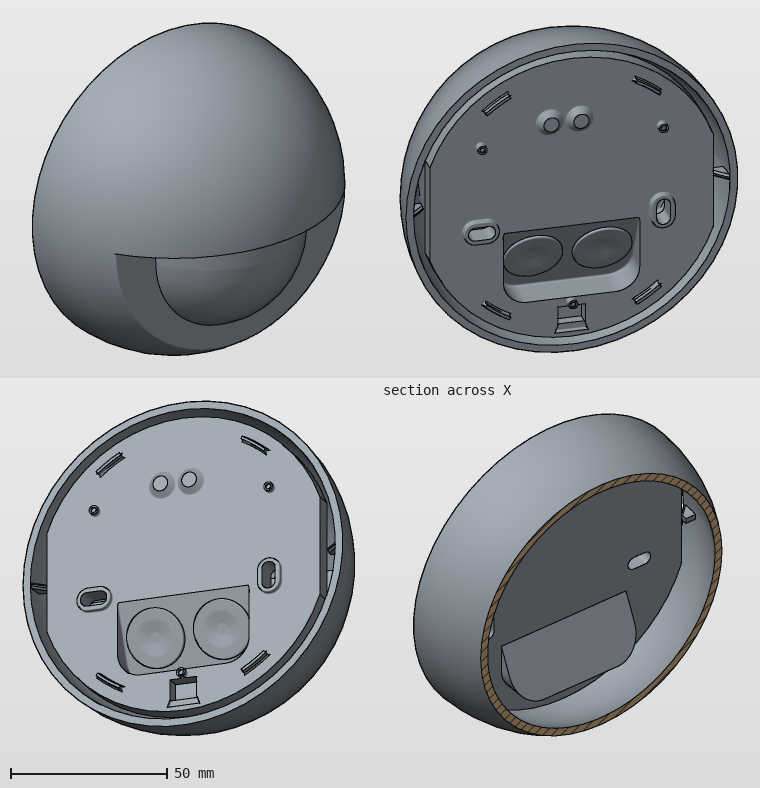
import cadquery as cq
import math


dome_radius = 55.0
wall = 2.5
rim_x = -0.2
inner_radius = dome_radius - wall
notch_x = 31.9
notch_edge_fillet = 0.5

stop_rib_width = 1.9
stop_rib_chamfer = 0.7
stop_rib_reach = 4.3
stop_rib_front_x = 0.3
stop_rib_length = 6.6

lens_radius = 32.2
lens_axis_x = 18.4
lens_ball_z = -7.4
lens_lean = 1.6

plate_face_x = 0.2
plate_thickness = 6.0
plate_radius = 49.8
plate_half_width = 47.0
plate_back_x = plate_face_x + plate_thickness
bump_fillet = 0.4

tall_bump_x = -2.0
low_bump_x = -1.6

rib_circle_radius = 44.9
rib_width = 1.0
rib_half_span = 6.1
rib_angles = [56.1, 123.9, 236.1, 303.9]

post_radius = 1.48
post_dimple_radius = 0.9
post_dimple_depth = 0.5
post_places = [(30.0, 21.8), (-30.0, 21.8), (0, -37.5)]

cone_top_radius = 2.5
cone_base_radius = 4.5
cone_top_x = -1.8
cone_places = [(7.1, 27.8), (-2.7, 27.8)]

boss_length = 11.7
boss_width = 7.8
boss_edge_fillet = 0.3
slot_length = 9.0
slot_width = 4.6
boss_places = [(30.1, -8.2, 0), (-30.0, -8.2, 90)]

pocket_width = 45.2
pocket_top_z = -10.1
pocket_bottom_z = -35.7
pocket_corner = 8.0
pocket_floor_fillet = 0.5
pocket_slope = 25.0
pocket_wall = 2.2
pocket_height = pocket_top_z - pocket_bottom_z
pocket_depth = pocket_height * math.tan(math.radians(pocket_slope))

window_width = 9.1
window_top_z = -38.8
window_bottom_z = -45.5
window_depth = 5.0
recess_bottom_z = -48.1
recess_bottom_width = 11.1
recess_depth = 1.3
recess_floor_fillet = 0.4

grommet_radius = 9.8
grommet_thickness = 1.1
grommet_spacing = 23.0
grommet_z = -21.8
dish_radius = 5.9
dish_bottom_radius = 1.9
dish_depth = 0.8
dish_lip_fillet = 5.0
grommet_edge_fillet = 0.4


def box_between(x_range, y_range, z_range):
    """Box between the given limits."""
    size = [high - low for low, high in (x_range, y_range, z_range)]
    corner = (x_range[0], y_range[0], z_range[0])
    return cq.Workplane("XY").box(*size, centered=False).translate(corner)


def sketch_at(x):
    """Workplane across X, with Y and Z as its two directions."""
    return cq.Workplane("YZ", origin=(x, 0, 0))


def truncated_hemisphere(radius, end_x, edge_fillet):
    """Half ball cut off flat at end_x, with a rounded edge there."""
    tilt = math.asin((end_x - edge_fillet) / (radius - edge_fillet))

    def on_circle(distance, angle):
        return (distance * math.sin(angle), distance * math.cos(angle))

    fillet_x, fillet_y = on_circle(radius - edge_fillet, tilt)
    offset_x, offset_y = on_circle(edge_fillet, (tilt + math.pi / 2) / 2)
    return (
        cq.Workplane("XY")
        .lineTo(0, radius)
        .threePointArc(on_circle(radius, tilt / 2), on_circle(radius, tilt))
        .threePointArc((fillet_x + offset_x, fillet_y + offset_y), (end_x, fillet_y))
        .lineTo(end_x, 0)
        .close()
        .revolve(360, (0, 0), (1, 0))
    )


def notched_hemisphere(radius, step_x, ceiling_z):
    """Half ball on the +X side that ends at step_x below ceiling_z."""
    sideways = (-radius, radius)
    upper = cq.Workplane("YZ").sphere(radius).intersect(
        box_between((0, radius), sideways, (ceiling_z, radius))
    )
    lower = truncated_hemisphere(radius, step_x, notch_edge_fillet).intersect(
        box_between((0, step_x), sideways, (-radius, ceiling_z))
    )
    return upper.union(lower)


def make_stop_rib():
    """Rib on the +Y side of the shell, with a chamfered 45 degree front."""
    root_y = inner_radius + wall / 2
    tip_y = inner_radius - stop_rib_reach
    back_x = stop_rib_front_x + stop_rib_length
    profile = [
        (stop_rib_front_x, root_y),
        (stop_rib_front_x, inner_radius - stop_rib_front_x),
        (inner_radius - tip_y, tip_y),
        (back_x, tip_y),
        (back_x, root_y),
    ]
    rib = cq.Workplane("XY").polyline(profile).close().extrude(stop_rib_width / 2, both=True)
    sloped_face = rib.faces(cq.selectors.DirectionNthSelector(cq.Vector(-1, -1, 0), -1))
    return sloped_face.edges("not |Z").chamfer(stop_rib_chamfer)


def make_housing():
    outside = notched_hemisphere(dome_radius, notch_x, 0)
    lip = sketch_at(rim_x).circle(dome_radius).circle(inner_radius).extrude(-rim_x)
    shell = outside.cut(notched_hemisphere(inner_radius, notch_x - wall, wall))
    rib = make_stop_rib().intersect(cq.Workplane("XY").sphere(dome_radius - wall / 2))
    return shell.union(lip).union(rib).union(rib.mirror("XZ"))


def make_lens():
    """Leaning post with a ball end, trimmed to sit in the corner of the notch."""
    ball_end_z = lens_ball_z - lens_radius
    body = (
        cq.Workplane("XZ")
        .moveTo(0, ball_end_z)
        .threePointArc(
            (lens_radius * math.sqrt(0.5), lens_ball_z - lens_radius * math.sqrt(0.5)),
            (lens_radius, lens_ball_z),
        )
        .lineTo(lens_radius, wall)
        .lineTo(0, wall)
        .close()
        .revolve(360, (0, 0), (0, 1))
        .rotate((0, 0, lens_ball_z), (0, 1, lens_ball_z), lens_lean)
        .translate((lens_axis_x, 0, 0))
    )
    corner = box_between((notch_x, dome_radius), (-dome_radius, dome_radius), (-dome_radius, 0))
    return body.intersect(corner)


def make_curved_rib(angle):
    """Rib along a circle around the plate's centre; angle is measured from +Y."""
    inner = rib_circle_radius - rib_width / 2
    outer = rib_circle_radius + rib_width / 2

    def at(radius, degrees):
        return (radius * math.cos(math.radians(degrees)), radius * math.sin(math.radians(degrees)))

    start = angle - rib_half_span
    end = angle + rib_half_span
    return (
        sketch_at(tall_bump_x)
        .moveTo(*at(inner, start))
        .lineTo(*at(outer, start))
        .threePointArc(at(outer, angle), at(outer, end))
        .lineTo(*at(inner, end))
        .threePointArc(at(inner, angle), at(inner, start))
        .close()
        .extrude(plate_face_x - tall_bump_x)
    )


def make_cone(place):
    """Cone with a flat top."""
    return (
        sketch_at(cone_top_x)
        .center(*place)
        .circle(cone_top_radius)
        .workplane(offset=plate_face_x - cone_top_x)
        .circle(cone_base_radius)
        .loft()
    )


def make_disc_with_bumps():
    flats = box_between(
        (plate_face_x, plate_back_x), (-plate_half_width, plate_half_width), (-plate_radius, plate_radius)
    )
    disc = sketch_at(plate_face_x).circle(plate_radius).extrude(plate_thickness).intersect(flats)
    for angle in rib_angles:
        disc = disc.union(make_curved_rib(angle))
    for place in cone_places:
        disc = disc.union(make_cone(place))
    posts = sketch_at(tall_bump_x).pushPoints(post_places).circle(post_radius)
    disc = disc.union(posts.extrude(plate_face_x - tall_bump_x))
    for y, z, turn in boss_places:
        boss = sketch_at(low_bump_x).center(y, z).slot2D(boss_length, boss_width, turn)
        boss = boss.extrude(plate_face_x - low_bump_x).faces("<X").edges().fillet(boss_edge_fillet)
        disc = disc.union(boss)
    reach = rib_circle_radius + 2 * rib_width
    bump_roots = cq.selectors.BoxSelector(
        (plate_face_x - 0.01, -reach, -reach), (plate_face_x + 0.01, reach, reach), boundingbox=True
    )
    return disc.edges(bump_roots).fillet(bump_fillet)


def make_pocket_wedge(margin):
    """Wedge with a sloping floor and two rounded lower corners, grown by margin on every side."""
    slope = math.radians(pocket_slope)
    floor_shift = margin / math.cos(slope)
    top_z = pocket_top_z + margin
    bottom_z = pocket_bottom_z - margin
    front_x = tall_bump_x if margin == 0 else plate_face_x
    block = (
        sketch_at(front_x)
        .center(0, (top_z + bottom_z) / 2)
        .rect(pocket_width + 2 * margin, top_z - bottom_z)
        .extrude(pocket_depth + floor_shift + 2 * pocket_wall)
        .edges("|X and <Z")
        .fillet(pocket_corner + margin)
    )
    top_x = plate_face_x + floor_shift - margin * math.tan(slope)
    bottom_x = top_x + (top_z - bottom_z) * math.tan(slope)
    side = (
        cq.Workplane("XZ")
        .polyline([(front_x, top_z), (top_x, top_z), (bottom_x, bottom_z), (front_x, bottom_z)])
        .close()
        .extrude(pocket_width, both=True)
    )
    return block.intersect(side)


def make_latch_opening():
    window = box_between(
        (tall_bump_x, plate_face_x + window_depth),
        (-window_width / 2, window_width / 2),
        (window_bottom_z, window_top_z),
    )
    half_top = window_width / 2
    half_bottom = recess_bottom_width / 2
    recess = (
        sketch_at(plate_face_x)
        .polyline(
            [
                (-half_top, window_bottom_z),
                (half_top, window_bottom_z),
                (half_bottom, recess_bottom_z),
                (-half_bottom, recess_bottom_z),
            ]
        )
        .close()
        .extrude(recess_depth)
        .faces(">X")
        .edges("not >Z")
        .fillet(recess_floor_fillet)
    )
    return window.union(recess)


def make_base_plate():
    plate = make_disc_with_bumps().union(make_pocket_wedge(pocket_wall))
    floor_edges = cq.selectors.BoxSelector(
        (plate_face_x, -pocket_width, pocket_bottom_z - 1.1),
        (plate_face_x + 2 * pocket_depth, pocket_width, pocket_top_z - 1.1),
    )
    pocket = make_pocket_wedge(0)
    pocket = pocket.faces(">X").edges().edges(floor_edges).fillet(pocket_floor_fillet)
    plate = plate.cut(pocket).cut(make_latch_opening())
    for y, z, turn in boss_places:
        slot = sketch_at(low_bump_x).center(y, z).slot2D(slot_length, slot_width, turn)
        plate = plate.cut(slot.extrude(plate_back_x - low_bump_x))
    dimples = sketch_at(tall_bump_x).pushPoints(post_places).circle(post_dimple_radius)
    return plate.cut(dimples.extrude(post_dimple_depth))


def make_grommet(y):
    """Round disc with a dished face, lying on the sloping pocket floor."""
    slope = math.radians(pocket_slope)
    floor_x = plate_face_x + (pocket_top_z - grommet_z) * math.tan(slope)
    section_plane = cq.Plane(
        origin=(floor_x, y, grommet_z), xDir=(0, 1, 0), normal=(-math.sin(slope), 0, math.cos(slope))
    )
    profile = [
        (0, 0),
        (grommet_radius, 0),
        (grommet_radius, grommet_thickness),
        (dish_radius, grommet_thickness),
        (dish_bottom_radius, grommet_thickness - dish_depth),
        (0, grommet_thickness - dish_depth),
    ]
    disc = cq.Workplane(section_plane).polyline(profile).close().revolve(360, (0, 0), (0, 1))
    disc = disc.edges(cq.selectors.RadiusNthSelector(1)).fillet(dish_lip_fillet)
    return disc.edges(cq.selectors.RadiusNthSelector(-1)).edges("<X").fillet(grommet_edge_fillet)


housing = make_housing()
lens = make_lens()
base_plate = make_base_plate()
grommets = [make_grommet(side * grommet_spacing / 2) for side in (-1, 1)]

result = cq.Compound.makeCompound(
    [housing.val(), lens.val(), base_plate.val(), *[grommet.val() for grommet in grommets]]
)